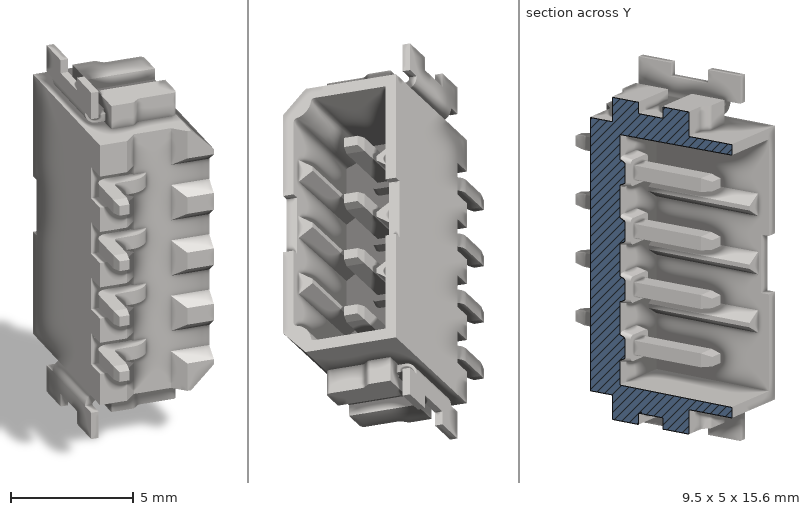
import cadquery as cq
import math


PIN_COUNT = 4
PITCH = 2.5
ROW_Y = 2.51

BODY_LENGTH = 7.5
BODY_HEIGHT = 5.0
BODY_WIDTH = 11.7
KEY_CHAMFER = 1.0
MOUTH_NOTCH_DEPTH = 0.37
MOUTH_NOTCH_WIDTH = 2.5

WALL = 0.47
CAVITY_DEPTH = 5.5
CAVITY_DRAFT = 0.4
POST_RADIUS = 0.78
POST_FILLET = 0.15
RIB_START = 0.53
RIB_DEPTH = 0.62
RIB_ROOT_HALF = 0.48
RIB_TIP_HALF = 0.1
COLLAR_HEIGHT = 0.5
COLLAR_SIZE_Y = 1.45
COLLAR_SIZE_Z = 1.31
COLLAR_CORNER = 0.25
COLLAR_INSET = 0.1

GROOVE_DEPTH = 0.51
GROOVE_FLOOR_BOTTOM = 1.7
GROOVE_FLOOR_TOP = 3.32
SLOT_DEPTH = 1.0
SLOT_WIDTH = 1.4
FLARE_NARROW_HALF = 0.45
FLARE_WIDE_HALF = 0.87

PIN_THICKNESS = 0.6
BLADE_HEIGHT = 0.8
BLADE_START = 1.22
BLADE_TAPER_LENGTH = 0.5
BLADE_TAPER_INSET = 0.1
LEG_START = 6.93
BEND_OUTER_RADIUS = 0.5
BEND_INNER_RADIUS = 0.17
ELBOW_CENTRE_Y = 1.37
ELBOW_INNER_RADIUS = 0.37
CRANK_START = 5.77
FOOT_END = 9.5
FOOT_TAPER_LENGTH = 0.48
FOOT_TAPER_INSET = 0.08

CLIP_X = 4.01
BOSS_HEIGHT = 1.05
BOSS_BOTTOM = 1.01
BOSS_TOP = BODY_HEIGHT - KEY_CHAMFER
BOSS_LOWER_WIDTH = 4.37
BOSS_UPPER_WIDTH = 3.8
BOSS_SHOULDER = 2.01
BOSS_SHOULDER_RADIUS = 0.23
BOSS_CORNER_RADIUS = 0.19
BOSS_SLOT_WIDTH = 1.17
CLIP_THICKNESS = 0.33
CLIP_ARM_Z = 6.08
CLIP_TIP_Z = 7.8
CLIP_ARM_WIDTH = 3.63
CLIP_ARM_SHOULDER = 0.92
CLIP_ARM_CORNER = 0.1
CLIP_NECK_WIDTH = 2.71
CLIP_BEND_RADIUS = 0.5
CLIP_PLATE_WIDTH = 5.02
CLIP_PLATE_HEIGHT = 1.19
CLIP_NOTCH_WIDTH = 1.83
CLIP_NOTCH_DEPTH = 0.58

pin_places = [(i - (PIN_COUNT - 1) / 2) * PITCH for i in range(PIN_COUNT)]
rib_places = [(a + b) / 2 for a, b in zip(pin_places, pin_places[1:])]


def box(x_range, y_range, z_range):
    """Axis-aligned box given by its extents."""
    size = [b - a for a, b in (x_range, y_range, z_range)]
    return cq.Workplane("XY").box(*size, centered=False).translate((x_range[0], y_range[0], z_range[0]))


def plate_xy(profile, z_centre, thickness):
    """Closed XY profile extruded symmetrically about z_centre."""
    return profile.extrude(thickness / 2, both=True).translate((0, 0, z_centre))


def housing_shell():
    half = BODY_WIDTH / 2
    outline = [
        (0, -half),
        (BODY_HEIGHT - KEY_CHAMFER, -half),
        (BODY_HEIGHT, KEY_CHAMFER - half),
        (BODY_HEIGHT, half - KEY_CHAMFER),
        (BODY_HEIGHT - KEY_CHAMFER, half),
        (0, half),
    ]
    shell = cq.Workplane("YZ").polyline(outline).close().extrude(BODY_LENGTH)
    notch_half = MOUTH_NOTCH_WIDTH / 2
    mouth_notch = box((0, MOUTH_NOTCH_DEPTH), (0, BODY_HEIGHT), (-notch_half, notch_half))
    return shell.cut(cavity()).cut(mouth_notch)


def cavity():
    """Drafted pocket whose two upper corners are filled by quarter-round posts."""
    top = BODY_HEIGHT - WALL
    half = BODY_WIDTH / 2 - WALL
    fillet_centre_reach = POST_RADIUS + POST_FILLET
    wall_reach = math.sqrt(fillet_centre_reach**2 - POST_FILLET**2)
    near = POST_FILLET * POST_RADIUS / fillet_centre_reach
    far = wall_reach * POST_RADIUS / fillet_centre_reach
    diagonal = POST_RADIUS / math.sqrt(2)
    profile = (
        cq.Workplane("YZ")
        .moveTo(WALL, -half)
        .lineTo(top - wall_reach, -half)
        .tangentArcPoint((top - far, near - half), relative=False)
        .threePointArc((top - diagonal, diagonal - half), (top - near, far - half))
        .tangentArcPoint((top, wall_reach - half), relative=False)
        .lineTo(top, half - wall_reach)
        .tangentArcPoint((top - near, half - far), relative=False)
        .threePointArc((top - diagonal, half - diagonal), (top - far, half - near))
        .tangentArcPoint((top - wall_reach, half), relative=False)
        .lineTo(WALL, half)
        .close()
    )
    return profile.extrude(CAVITY_DEPTH, taper=CAVITY_DRAFT)


def cavity_rib(z, wall_y, inward):
    """V-shaped rib standing on a long cavity wall; inward is +1 or -1 along Y."""
    root_y = wall_y - inward * WALL / 2
    tip_y = wall_y + inward * RIB_DEPTH
    outline = [
        (root_y, z - RIB_ROOT_HALF),
        (wall_y, z - RIB_ROOT_HALF),
        (tip_y, z - RIB_TIP_HALF),
        (tip_y, z + RIB_TIP_HALF),
        (wall_y, z + RIB_ROOT_HALF),
        (root_y, z + RIB_ROOT_HALF),
    ]
    rib = cq.Workplane("YZ").workplane(offset=RIB_START).polyline(outline).close()
    return rib.extrude(CAVITY_DEPTH - RIB_START)


def tapered_block(start_x, y, z, size_y, size_z, length, inset, corner=0.0):
    """Block along +X that narrows by inset on every side; a negative length runs along -X."""
    section = cq.Sketch().rect(size_y, size_z)
    if corner:
        section = section.vertices().fillet(corner)
    plane = cq.Workplane("YZ", origin=(start_x, y, z))
    return plane.placeSketch(section).extrude(length, taper=math.degrees(math.atan(inset / abs(length))))


def collar(z):
    return tapered_block(
        CAVITY_DEPTH, ROW_Y, z, COLLAR_SIZE_Y, COLLAR_SIZE_Z, -COLLAR_HEIGHT, COLLAR_INSET, COLLAR_CORNER
    )


def rear_groove():
    floor_x = BODY_LENGTH - GROOVE_DEPTH
    outline = [
        (BODY_LENGTH, GROOVE_FLOOR_BOTTOM - GROOVE_DEPTH),
        (floor_x, GROOVE_FLOOR_BOTTOM),
        (floor_x, GROOVE_FLOOR_TOP),
        (BODY_LENGTH, GROOVE_FLOOR_TOP + GROOVE_DEPTH),
    ]
    return plate_xy(cq.Workplane("XY").polyline(outline).close(), 0, BODY_WIDTH)


def board_slot(z):
    """Slot in the board-side wall with a 45-degree roof leading into the rear groove."""
    floor_x = BODY_LENGTH - SLOT_DEPTH
    groove_x = BODY_LENGTH - GROOVE_DEPTH
    outline = [
        (floor_x, 0),
        (floor_x, GROOVE_FLOOR_BOTTOM - (groove_x - floor_x)),
        (groove_x, GROOVE_FLOOR_BOTTOM),
        (BODY_LENGTH, GROOVE_FLOOR_BOTTOM),
        (BODY_LENGTH, 0),
    ]
    return plate_xy(cq.Workplane("XY").polyline(outline).close(), z, SLOT_WIDTH)


def flared_notch(z):
    """Notch through the upper rear wall that widens toward the rear face."""
    floor_x = BODY_LENGTH - GROOVE_DEPTH
    outline = [
        (floor_x, z - FLARE_NARROW_HALF),
        (BODY_LENGTH, z - FLARE_WIDE_HALF),
        (BODY_LENGTH, z + FLARE_WIDE_HALF),
        (floor_x, z + FLARE_NARROW_HALF),
    ]
    profile = cq.Workplane("XZ", origin=(0, BODY_HEIGHT, 0)).polyline(outline).close()
    return profile.extrude(BODY_HEIGHT - GROOVE_FLOOR_TOP)


def pin(z):
    """Blade, crank, shank, leg and foot bent in one flat shape, with tapered ends."""
    blade_top = ROW_Y + BLADE_HEIGHT / 2
    blade_bottom = ROW_Y - BLADE_HEIGHT / 2
    blade_x = BLADE_START + BLADE_TAPER_LENGTH
    leg_end = LEG_START + PIN_THICKNESS
    foot_x = FOOT_END - FOOT_TAPER_LENGTH
    elbow_outer_radius = ELBOW_INNER_RADIUS + PIN_THICKNESS
    elbow_x = LEG_START - ELBOW_INNER_RADIUS
    shank_bottom = ELBOW_CENTRE_Y + ELBOW_INNER_RADIUS
    shank_top = shank_bottom + PIN_THICKNESS
    crank_end = CRANK_START + PIN_THICKNESS
    profile = (
        cq.Workplane("XY")
        .moveTo(blade_x, blade_top)
        .lineTo(crank_end, blade_top)
        .lineTo(crank_end, shank_top)
        .lineTo(elbow_x, shank_top)
        .tangentArcPoint((elbow_outer_radius, -elbow_outer_radius))
        .lineTo(leg_end, PIN_THICKNESS + BEND_INNER_RADIUS)
        .tangentArcPoint((BEND_INNER_RADIUS, -BEND_INNER_RADIUS))
        .lineTo(foot_x, PIN_THICKNESS)
        .lineTo(foot_x, 0)
        .lineTo(LEG_START + BEND_OUTER_RADIUS, 0)
        .tangentArcPoint((-BEND_OUTER_RADIUS, BEND_OUTER_RADIUS))
        .lineTo(LEG_START, ELBOW_CENTRE_Y)
        .tangentArcPoint((-ELBOW_INNER_RADIUS, ELBOW_INNER_RADIUS))
        .lineTo(CRANK_START, shank_bottom)
        .lineTo(CRANK_START, blade_bottom)
        .lineTo(blade_x, blade_bottom)
        .close()
    )
    blade_tip = tapered_block(
        blade_x, ROW_Y, z, BLADE_HEIGHT, PIN_THICKNESS, -BLADE_TAPER_LENGTH, BLADE_TAPER_INSET
    )
    foot_tip = tapered_block(
        foot_x, PIN_THICKNESS / 2, z, PIN_THICKNESS, PIN_THICKNESS, FOOT_TAPER_LENGTH, FOOT_TAPER_INSET
    )
    return plate_xy(profile, z, PIN_THICKNESS).union(blade_tip).union(foot_tip)


def boss():
    """Shouldered boss on the +Z end, split by a shallow slot down to the clip arm."""
    lower = BOSS_LOWER_WIDTH / 2
    upper = BOSS_UPPER_WIDTH / 2
    shoulder_top = BOSS_SHOULDER + lower - upper
    outline = [
        (CLIP_X - lower, BOSS_BOTTOM),
        (CLIP_X + lower, BOSS_BOTTOM),
        (CLIP_X + lower, BOSS_SHOULDER),
        (CLIP_X + upper, shoulder_top),
        (CLIP_X + upper, BOSS_TOP),
        (CLIP_X - upper, BOSS_TOP),
        (CLIP_X - upper, shoulder_top),
        (CLIP_X - lower, BOSS_SHOULDER),
    ]
    base_z = BODY_WIDTH / 2
    top_z = base_z + BOSS_HEIGHT
    block = cq.Workplane("XY", origin=(0, 0, base_z)).polyline(outline).close().extrude(BOSS_HEIGHT)
    block = block.edges("|Z and >Y").fillet(BOSS_CORNER_RADIUS)
    shoulder_zone = cq.selectors.BoxSelector(
        (CLIP_X - BOSS_LOWER_WIDTH, BOSS_SHOULDER - BOSS_SHOULDER_RADIUS, base_z),
        (CLIP_X + BOSS_LOWER_WIDTH, shoulder_top + BOSS_SHOULDER_RADIUS, top_z),
    )
    block = block.edges("|Z").edges(shoulder_zone).fillet(BOSS_SHOULDER_RADIUS)
    slot_half = BOSS_SLOT_WIDTH / 2
    slot = box(
        (CLIP_X - slot_half, CLIP_X + slot_half),
        (BOSS_BOTTOM, BOSS_TOP),
        (CLIP_ARM_Z + CLIP_THICKNESS, top_z),
    )
    return block.cut(slot)


def clip():
    """Sheet clip on the +Z end: neck and arm from the boss, a quarter bend and a notched plate."""
    inner_radius = CLIP_BEND_RADIUS - CLIP_THICKNESS
    arm_half = CLIP_ARM_WIDTH / 2
    bend_end_z = CLIP_ARM_Z + CLIP_BEND_RADIUS
    plate_z = CLIP_TIP_Z - CLIP_PLATE_HEIGHT
    strip = (
        cq.Workplane("YZ", origin=(CLIP_X - arm_half, 0, 0))
        .moveTo(CLIP_ARM_SHOULDER, CLIP_ARM_Z)
        .lineTo(CLIP_BEND_RADIUS, CLIP_ARM_Z)
        .tangentArcPoint((-CLIP_BEND_RADIUS, CLIP_BEND_RADIUS))
        .lineTo(0, plate_z)
        .lineTo(CLIP_THICKNESS, plate_z)
        .lineTo(CLIP_THICKNESS, bend_end_z)
        .tangentArcPoint((inner_radius, -inner_radius))
        .lineTo(CLIP_ARM_SHOULDER, CLIP_ARM_Z + CLIP_THICKNESS)
        .close()
        .extrude(CLIP_ARM_WIDTH)
        .edges("|Z and >Y")
        .fillet(CLIP_ARM_CORNER)
    )
    neck_half = CLIP_NECK_WIDTH / 2
    neck = box(
        (CLIP_X - neck_half, CLIP_X + neck_half),
        (CLIP_ARM_SHOULDER - CLIP_ARM_CORNER, BOSS_SHOULDER),
        (CLIP_ARM_Z, CLIP_ARM_Z + CLIP_THICKNESS),
    )
    plate_half = CLIP_PLATE_WIDTH / 2
    notch_half = CLIP_NOTCH_WIDTH / 2
    plate = box((CLIP_X - plate_half, CLIP_X + plate_half), (0, CLIP_THICKNESS), (plate_z, CLIP_TIP_Z))
    notch = box(
        (CLIP_X - notch_half, CLIP_X + notch_half),
        (0, CLIP_THICKNESS),
        (CLIP_TIP_Z - CLIP_NOTCH_DEPTH, CLIP_TIP_Z),
    )
    neck_roots = cq.selectors.BoxSelector(
        (CLIP_X - neck_half - CLIP_ARM_CORNER, CLIP_ARM_SHOULDER - CLIP_ARM_CORNER / 2, CLIP_ARM_Z),
        (CLIP_X + neck_half + CLIP_ARM_CORNER, CLIP_ARM_SHOULDER + CLIP_ARM_CORNER / 2, CLIP_TIP_Z),
    )
    arm = strip.union(neck).edges("|Z").edges(neck_roots).fillet(CLIP_ARM_CORNER)
    return arm.union(plate.cut(notch))


header = housing_shell().cut(rear_groove())
for place in rib_places:
    header = header.union(cavity_rib(place, WALL, 1))
    header = header.union(cavity_rib(place, BODY_HEIGHT - WALL, -1))
for place in pin_places:
    header = header.cut(board_slot(place)).cut(flared_notch(place))
    header = header.union(collar(place)).union(pin(place))

end_lock = boss().union(clip())
header = header.union(end_lock).union(end_lock.mirror("XY"))

result = header